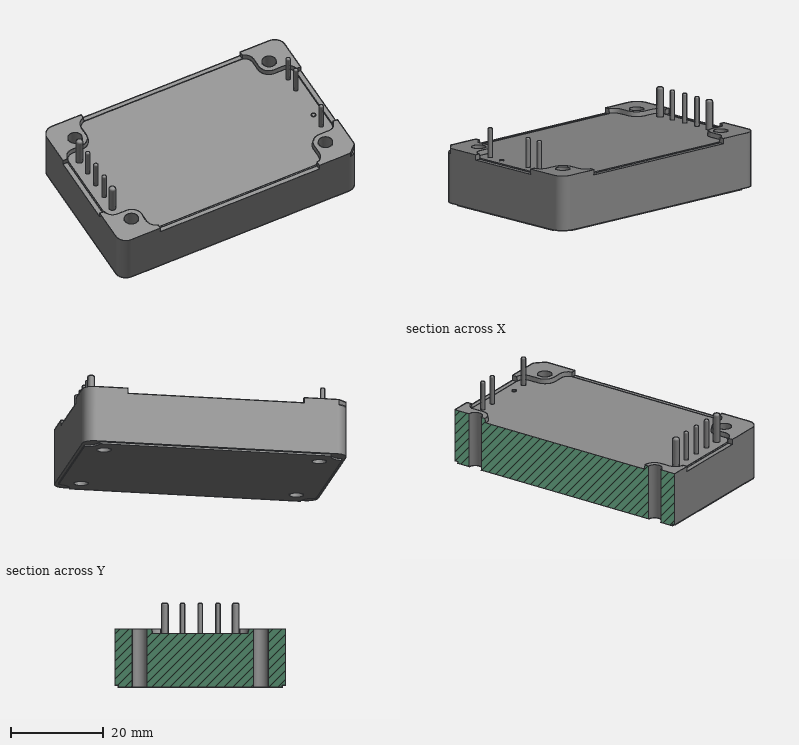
import cadquery as cq

CASE_X = 36.8
CASE_Y = 57.9
TOTAL_HEIGHT = 18.2
CASE_TOP = 12.6
CASE_CORNER_RADIUS = 2.5

PLATE_THICKNESS = 0.4
PLATE_INSET = 0.7
PLATE_SCOOP_RADIUS = 2.9

HOLE_DIAMETER = 3.1
HOLE_X = 13.1
HOLE_Y = 23.6

LID_DEPTH = 1.0
LID_RISE = 0.2
LID_TOP = CASE_TOP - LID_DEPTH
RIM_TOP = LID_TOP - LID_RISE
LID_HALF_X = 17.15
LID_HALF_Y = 27.6
ARM_HALF_X = 10.25
SHOULDER_Y = 20.8
LID_OUTER_RADIUS = 1.9
LID_INNER_RADIUS = 2.65
WALL_DRAFT = 0.25

END_OPENING = 17.0
SIDE_OPENING = 38.7

MARK_LEG = 2.0

SMALL_PIN_DIAMETER = 1.0
SMALL_PIN_ROUND = 0.35
LARGE_PIN_DIAMETER = 1.5
LARGE_PIN_ROUND = 0.45
PIN_ROW_Y = 25.4
OUTER_PIN_X = 7.65
FRONT_PIN_PITCH = OUTER_PIN_X / 2
BACK_PIN_X = 4.1
DIMPLE_DEPTH = LID_RISE


def plus_outline(offset, z):
    """Plus-shaped wire, grown outward by offset, with rounded corners."""
    long_x = LID_HALF_X + offset
    long_y = LID_HALF_Y + offset
    arm_x = ARM_HALF_X + offset
    shoulder_y = SHOULDER_Y + offset
    quadrant = [(long_x, shoulder_y), (arm_x, shoulder_y), (arm_x, long_y)]
    mirrored = [(-x, y) for x, y in reversed(quadrant)]
    opposite = [(-x, -y) for x, y in quadrant + mirrored]
    wire = cq.Workplane().polyline(quadrant + mirrored + opposite).close().val()

    inward = [v for v in wire.Vertices() if abs(v.X) < LID_HALF_X and abs(v.Y) < LID_HALF_Y]
    outward = [v for v in wire.Vertices() if v not in inward]
    wire = wire.fillet2D(LID_INNER_RADIUS - offset, inward)
    wire = wire.fillet2D(LID_OUTER_RADIUS + offset, outward)
    return wire.translate(cq.Vector(0, 0, z))


def drafted_plus(offset_bottom, z_bottom, offset_top, z_top):
    """Plus-shaped block whose walls lean evenly from bottom to top."""
    bottom = plus_outline(offset_bottom, z_bottom)
    top = plus_outline(offset_top, z_top)
    return cq.Workplane(cq.Solid.makeLoft([bottom, top], True))


def block(size_x, size_y, z_bottom, z_top):
    """Rectangular block centred on the Z axis."""
    base = cq.Workplane().workplane(offset=z_bottom)
    return base.rect(size_x, size_y).extrude(z_top - z_bottom)


def case_body():
    body = block(CASE_X, CASE_Y, PLATE_THICKNESS, CASE_TOP)
    body = body.edges("|Z").fillet(CASE_CORNER_RADIUS)
    body = body.cut(drafted_plus(0, LID_TOP, WALL_DRAFT, CASE_TOP))
    body = body.cut(block(END_OPENING, CASE_Y, RIM_TOP, CASE_TOP))
    body = body.cut(block(CASE_X, SIDE_OPENING, RIM_TOP, CASE_TOP))
    mark = (
        cq.Workplane()
        .workplane(offset=RIM_TOP)
        .moveTo(CASE_X / 2, CASE_Y / 2)
        .lineTo(CASE_X / 2 - MARK_LEG, CASE_Y / 2)
        .lineTo(CASE_X / 2, CASE_Y / 2 - MARK_LEG)
        .close()
        .extrude(CASE_TOP - RIM_TOP)
    )
    return body.cut(mark)


def base_plate():
    size_x = CASE_X - 2 * PLATE_INSET
    size_y = CASE_Y - 2 * PLATE_INSET
    plate = block(size_x, size_y, 0, PLATE_THICKNESS)
    scoops = (
        cq.Workplane()
        .rect(size_x, size_y, forConstruction=True)
        .vertices()
        .circle(PLATE_SCOOP_RADIUS)
        .extrude(PLATE_THICKNESS)
    )
    return plate.cut(scoops)


def mounting_holes():
    return (
        cq.Workplane()
        .rect(2 * HOLE_X, 2 * HOLE_Y, forConstruction=True)
        .vertices()
        .circle(HOLE_DIAMETER / 2)
        .extrude(CASE_TOP)
    )


def pins(places, diameter, tip_round):
    """Upright round pins with rounded tips, rooted at the rim level."""
    shafts = (
        cq.Workplane()
        .workplane(offset=RIM_TOP)
        .pushPoints(places)
        .circle(diameter / 2)
        .extrude(TOTAL_HEIGHT - RIM_TOP)
    )
    return shafts.faces(">Z").edges().fillet(tip_round)


def dimple():
    return (
        cq.Workplane()
        .workplane(offset=LID_TOP - DIMPLE_DEPTH)
        .center(BACK_PIN_X, PIN_ROW_Y)
        .circle(SMALL_PIN_DIAMETER / 2)
        .extrude(DIMPLE_DEPTH)
    )


large_pin_places = [(side * OUTER_PIN_X, -PIN_ROW_Y) for side in (-1, 1)]
front_pin_places = [(step * FRONT_PIN_PITCH, -PIN_ROW_Y) for step in (-1, 0, 1)]
back_pin_places = [(x, PIN_ROW_Y) for x in (-OUTER_PIN_X, -BACK_PIN_X, OUTER_PIN_X)]

result = (
    case_body()
    .union(base_plate())
    .union(drafted_plus(WALL_DRAFT, RIM_TOP, 0, LID_TOP))
    .cut(mounting_holes())
    .cut(dimple())
    .union(pins(large_pin_places, LARGE_PIN_DIAMETER, LARGE_PIN_ROUND))
    .union(pins(front_pin_places + back_pin_places, SMALL_PIN_DIAMETER, SMALL_PIN_ROUND))
)